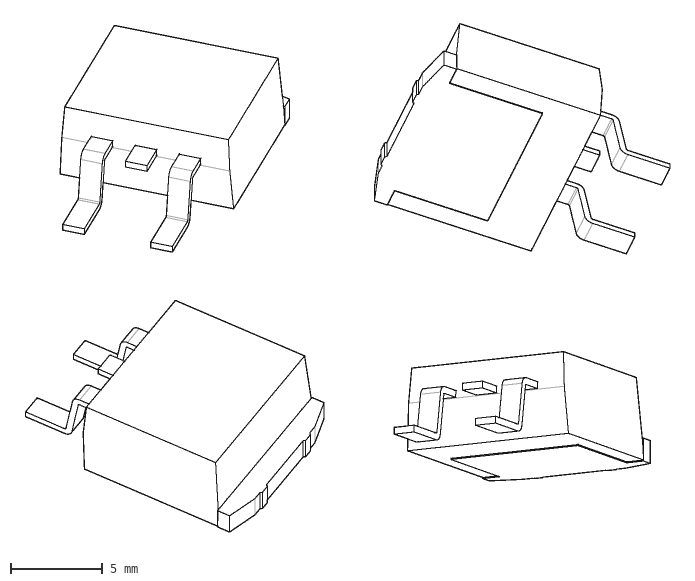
import cadquery as cq
import math


top_z = 4.66
housing_bottom_z = 0.1
parting_z = 2.7
top_half_width = 4.72
top_front_y = 0.13
bottom_front_y = 0.18
top_back_y = 8.33
back_draft = 5.0

tab_width = 10.01
tab_bottom_z = 0.05
tab_thickness = 1.28
tab_back_y = 9.9
tab_corner_y = 9.38
tab_back_half_width = 3.18
pad_width = 7.92
pad_front_y = 3.15
nub_offset = 2.29
nub_base_width = 0.7
nub_tip_width = 0.53
nub_height = 0.1

lead_width = 1.25
lead_thickness = 0.38
lead_pitch = 2.54
lead_top_z = 3.12
lead_root_y = 0.88
middle_tip_y = -1.57
foot_tip_y = -4.66
bend_y = -1.3
leg_lean = 10.0
bend_inner_radius = 0.09

bottom_half_width = tab_width / 2
tab_top_z = tab_bottom_z + tab_thickness
lead_bottom_z = lead_top_z - lead_thickness
bend_outer_radius = bend_inner_radius + lead_thickness


def housing_back_y(z):
    """Y of the drafted back face at height z."""
    return top_back_y + (top_z - z) * math.tan(math.radians(back_draft))


def make_housing_block():
    """Side outline, with its front parting edge, trimmed by the drafted left and right faces."""
    side_outline = [
        (top_front_y, top_z),
        (top_back_y, top_z),
        (housing_back_y(housing_bottom_z), housing_bottom_z),
        (bottom_front_y, housing_bottom_z),
        (0, parting_z),
    ]
    front_outline = [
        (-bottom_half_width, housing_bottom_z),
        (bottom_half_width, housing_bottom_z),
        (top_half_width, top_z),
        (-top_half_width, top_z),
    ]
    long_block = cq.Workplane("YZ").polyline(side_outline).close().extrude(bottom_half_width, both=True)
    wide_block = cq.Workplane("XZ").polyline(front_outline).close().extrude(tab_back_y, both=True)
    return long_block.intersect(wide_block)


def make_nub(x):
    """Small tapered stub on the back edge of the tab."""
    outline = [
        (x - nub_base_width / 2, tab_back_y),
        (x + nub_base_width / 2, tab_back_y),
        (x + nub_tip_width / 2, tab_back_y + nub_height),
        (x - nub_tip_width / 2, tab_back_y + nub_height),
    ]
    return cq.Workplane("XY", origin=(0, 0, tab_bottom_z)).polyline(outline).close().extrude(tab_thickness)


def make_tab():
    """Wide plate behind the housing, stepping in to a narrower pad under it."""
    shoulder_y = housing_back_y(tab_top_z)
    right_side = [
        (pad_width / 2, pad_front_y),
        (pad_width / 2, shoulder_y),
        (tab_width / 2, shoulder_y),
        (tab_width / 2, tab_corner_y),
        (tab_back_half_width, tab_back_y),
    ]
    left_side = [(-x, y) for x, y in reversed(right_side)]
    tab = (
        cq.Workplane("XY", origin=(0, 0, tab_bottom_z))
        .polyline(right_side + left_side)
        .close()
        .extrude(tab_thickness)
    )
    for x in (-nub_offset, nub_offset):
        tab = tab.union(make_nub(x))
    return tab


def make_middle_lead():
    """Straight cropped lead."""
    return cq.Workplane("XY").box(
        lead_width, lead_root_y - middle_tip_y, lead_thickness, centered=(True, False, False)
    ).translate((0, middle_tip_y, lead_bottom_z))


def make_gull_lead(x):
    """Lead that runs forward, bends down along a leaning leg and ends in a flat foot."""
    lean = math.tan(math.radians(leg_lean))
    corner_shift = lead_thickness * math.tan(math.radians(90 - leg_lean) / 2)
    upper_inner = (bend_y, lead_bottom_z)
    upper_outer = (bend_y - corner_shift, lead_top_z)
    lower_outer = (bend_y - lead_bottom_z * lean, 0)
    lower_inner = (lower_outer[0] - corner_shift, lead_thickness)
    outline = [
        (lead_root_y, lead_top_z),
        upper_outer,
        lower_inner,
        (foot_tip_y, lead_thickness),
        (foot_tip_y, 0),
        lower_outer,
        upper_inner,
        (lead_root_y, lead_bottom_z),
    ]
    lead = cq.Workplane("YZ").polyline(outline).close().extrude(lead_width / 2, both=True)
    bends = [
        (upper_inner, bend_inner_radius),
        (upper_outer, bend_outer_radius),
        (lower_inner, bend_inner_radius),
        (lower_outer, bend_outer_radius),
    ]
    for (y, z), radius in bends:
        lead = lead.edges(cq.NearestToPointSelector((0, y, z))).fillet(radius)
    return lead.translate((x, 0, 0))


tab = make_tab()
middle_lead = make_middle_lead()
gull_leads = [make_gull_lead(x) for x in (-lead_pitch, lead_pitch)]

housing = make_housing_block()
for insert in [tab, middle_lead, *gull_leads]:
    housing = housing.cut(insert)

result = cq.Compound.makeCompound(
    [housing.val(), tab.val(), middle_lead.val(), *[lead.val() for lead in gull_leads]]
)